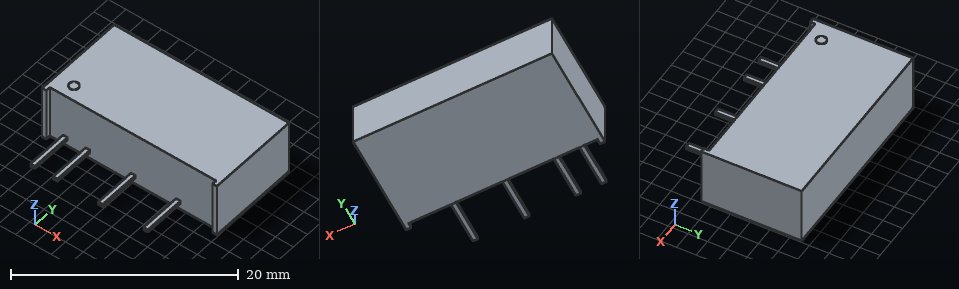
import cadquery as cq

housing_length = 19.65
housing_height = 6.0
housing_depth = 10.16
standoff_width = 0.5
standoff_depth = 0.5

pin_width = 0.5
pin_thickness = 0.3
pin_pitch = 2.54
pin_pitch_steps = [0, 1, 3, 5]
first_pin_x = 2.23
pin_axis_z = 0.9
pin_reach = 4.1

marker_diameter = 1.0
marker_depth = 0.1
marker_x = 2.0
marker_y = 2.0

recess_length = housing_length - 2 * standoff_width
pin_length = pin_reach + standoff_depth


def make_marker():
    return (
        cq.Workplane("XY", origin=(marker_x, marker_y, housing_height - marker_depth))
        .circle(marker_diameter / 2)
        .extrude(marker_depth)
    )


def make_housing(marker):
    block = cq.Workplane("XY").box(housing_length, housing_depth, housing_height, centered=False)
    recess = (
        cq.Workplane("XY", origin=(standoff_width, 0, 0))
        .box(recess_length, standoff_depth, housing_height, centered=False)
    )
    return block.cut(recess).cut(marker)


def make_pin(axis_x):
    return (
        cq.Workplane("XY", origin=(axis_x, -pin_reach, pin_axis_z))
        .box(pin_width, pin_length, pin_thickness, centered=(True, False, True))
    )


marker = make_marker()
housing = make_housing(marker)
pins = [make_pin(first_pin_x + step * pin_pitch) for step in pin_pitch_steps]

result = cq.Compound.makeCompound([housing.val(), marker.val(), *[pin.val() for pin in pins]])